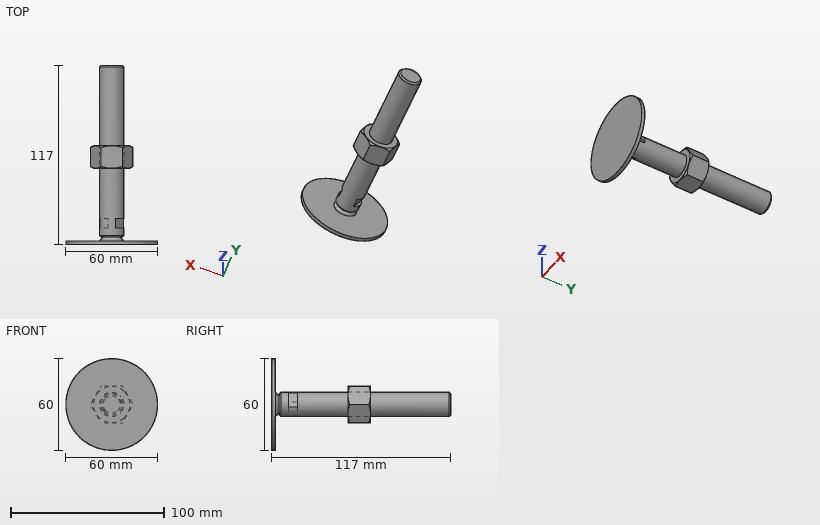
import cadquery as cq
import math

plate_diameter = 60.0
plate_thickness = 2.5
neck_height = 2.5
neck_base_diameter = 15.8
neck_top_diameter = 11.4

overall_length = 117.0
spindle_diameter = 16.0
spindle_chamfer = 1.1
spindle_start = plate_thickness + neck_height
spindle_length = overall_length - spindle_start

flats_across = 12.0
flats_width = 6.0
flats_start = 11.0
flats_angle = 30.0

nut_across_flats = 24.0
nut_across_corners = nut_across_flats / math.cos(math.radians(30))
nut_height = 14.8
nut_start = 49.8
nut_chamfer_angle = 30.0
nut_face_diameter = 23.7


def plane_at(y):
    """Plane across the spindle axis at height y, normal +Y, local x along +X."""
    return cq.Plane(origin=(0, y, 0), xDir=(1, 0, 0), normal=(0, 1, 0))


def make_foot_plate():
    outline = [
        (0, 0),
        (plate_diameter / 2, 0),
        (plate_diameter / 2, plate_thickness),
        (neck_base_diameter / 2, plate_thickness),
        (neck_top_diameter / 2, spindle_start),
        (0, spindle_start),
    ]
    return cq.Workplane("XY").polyline(outline).close().revolve(360, (0, 0, 0), (0, 1, 0))


def make_spindle():
    spindle = (
        cq.Workplane(plane_at(spindle_start))
        .circle(spindle_diameter / 2)
        .extrude(spindle_length)
        .faces("<Y or >Y")
        .chamfer(spindle_chamfer)
    )
    cutter_offset = (flats_across + spindle_diameter) / 2
    cutter_height = flats_start + flats_width / 2
    for side in (-1, 1):
        cutter = (
            cq.Workplane("XY")
            .box(spindle_diameter, flats_width, spindle_diameter)
            .translate((side * cutter_offset, cutter_height, 0))
            .rotate((0, 0, 0), (0, 1, 0), -flats_angle)
        )
        spindle = spindle.cut(cutter)
    return spindle


def make_nut():
    hexagon = (
        cq.Workplane(plane_at(nut_start))
        .polygon(6, nut_across_corners)
        .circle(spindle_diameter / 2)
        .extrude(nut_height)
    )
    corner_radius = nut_across_corners / 2
    face_radius = nut_face_diameter / 2
    bevel = (corner_radius - face_radius) * math.tan(math.radians(nut_chamfer_angle))
    nut_end = nut_start + nut_height
    outline = [
        (0, nut_start),
        (face_radius, nut_start),
        (corner_radius, nut_start + bevel),
        (corner_radius, nut_end - bevel),
        (face_radius, nut_end),
        (0, nut_end),
    ]
    blank = cq.Workplane("XY").polyline(outline).close().revolve(360, (0, 0, 0), (0, 1, 0))
    return hexagon.intersect(blank)


foot_plate = make_foot_plate()
spindle = make_spindle()
nut = make_nut()

result = cq.Compound.makeCompound([foot_plate.val(), spindle.val(), nut.val()])